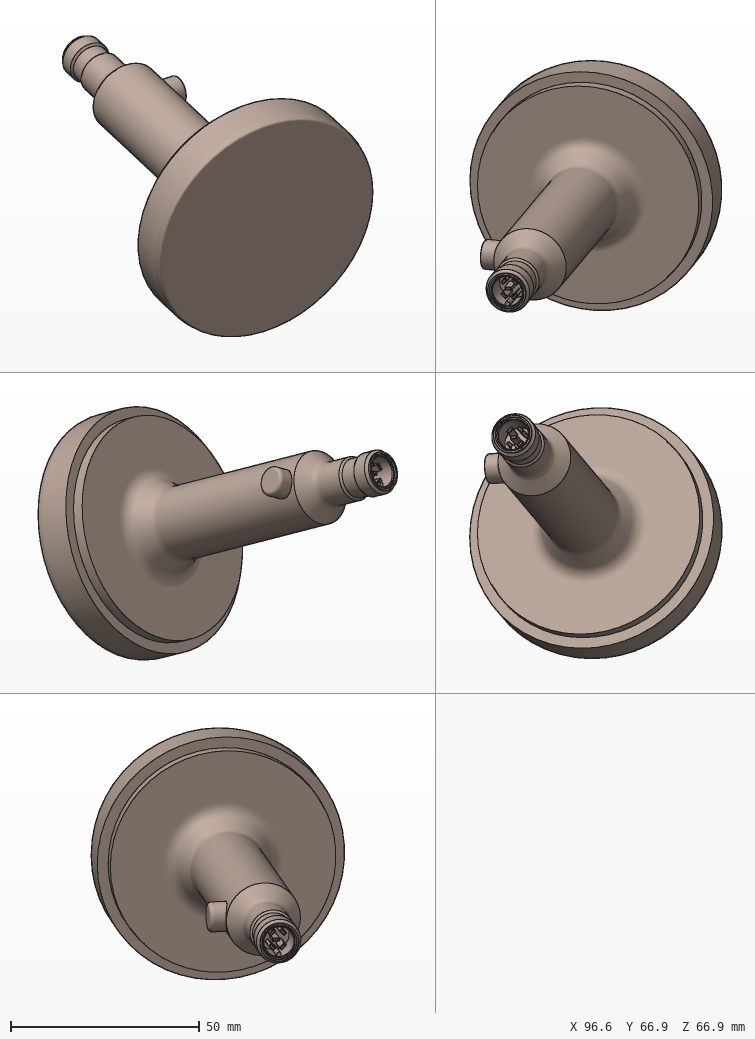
import cadquery as cq
import math


plug_radius = 12.0 / 2
nose_radius = 10.47 / 2
nose_length = 0.55
groove_radius = 10.8 / 2
groove_start_x = 5.25
groove_end_x = 10.8
neck_start_x = 18.4

body_radius = 20.0 / 2
neck_fillet = 3.0
neck_angle = math.radians(45)
flare_start_x = 74.8
flare_fillet = 4.0
flare_angle = math.radians(30)

hub_radius = 61.0 / 2
flange_radius = 66.9 / 2
hub_x = 82.4
flange_x = 85.6
rim_taper_x = 94.55
rim_taper_drop = 0.3
rim_fillet = 0.6
overall_length = 96.59

mouth_radius = 9.45 / 2
ledge_radius = 8.7 / 2
socket_radius = 8.2 / 2
mouth_depth = 0.6
socket_depth = 8.0
key_width = 1.2
key_tip_radius = 2.9

blade_length = 1.8
blade_thickness = 0.9
blade_tip_x = 2.8
blade_chamfer = 0.2
blade_offset_y = 1.45
blade_offset_z = 2.0
blade_angle = 45
earth_blade_y = 0.4

button_radius = 8.0 / 2
button_x = 28.4
button_top_y = 14.1
button_fillet = 1.0


def arc_point(center_x, center_r, radius, angle):
    """Point of a profile arc, the angle measured from the +X direction."""
    return (center_x + radius * math.cos(angle), center_r + radius * math.sin(angle))


def make_turned_body():
    """Revolved outside shape: plug, neck, tube, flare and flange."""
    nose_chamfer = plug_radius - nose_radius
    groove_depth = plug_radius - groove_radius

    down = -math.pi / 2
    neck_center = (neck_start_x, plug_radius + neck_fillet)
    neck_mid = arc_point(*neck_center, neck_fillet, down + neck_angle / 2)
    neck_end = arc_point(*neck_center, neck_fillet, down + neck_angle)
    body_start_x = neck_end[0] + (body_radius - neck_end[1]) / math.tan(neck_angle)

    flare_center = (flare_start_x, body_radius + flare_fillet)
    flare_mid = arc_point(*flare_center, flare_fillet, down + flare_angle / 2)
    flare_end = arc_point(*flare_center, flare_fillet, down + flare_angle)
    root_start_x = hub_x - flare_fillet * (1 - math.sin(flare_angle))
    root_start_r = flare_end[1] + (root_start_x - flare_end[0]) * math.tan(flare_angle)
    root_center = (hub_x - flare_fillet, root_start_r + flare_fillet * math.cos(flare_angle))
    root_mid = arc_point(*root_center, flare_fillet, (down + flare_angle) / 2)

    rim_radius = flange_radius - rim_taper_drop
    rim_center = (overall_length - rim_fillet, rim_radius - rim_fillet)
    rim_mid = arc_point(*rim_center, rim_fillet, math.pi / 4)

    profile = (
        cq.Workplane("XY")
        .moveTo(0, 0)
        .lineTo(0, nose_radius)
        .lineTo(nose_length, nose_radius)
        .lineTo(nose_length + nose_chamfer, plug_radius)
        .lineTo(groove_start_x, plug_radius)
        .lineTo(groove_start_x + groove_depth, groove_radius)
        .lineTo(groove_end_x - groove_depth, groove_radius)
        .lineTo(groove_end_x, plug_radius)
        .lineTo(neck_start_x, plug_radius)
        .threePointArc(neck_mid, neck_end)
        .lineTo(body_start_x, body_radius)
        .lineTo(flare_start_x, body_radius)
        .threePointArc(flare_mid, flare_end)
        .lineTo(root_start_x, root_start_r)
        .threePointArc(root_mid, (hub_x, root_center[1]))
        .lineTo(hub_x, hub_radius)
        .lineTo(flange_x, hub_radius)
        .lineTo(flange_x, flange_radius)
        .lineTo(rim_taper_x, flange_radius)
        .lineTo(rim_center[0], rim_radius)
        .threePointArc(rim_mid, (overall_length, rim_center[1]))
        .lineTo(overall_length, 0)
        .close()
    )
    return profile.revolve(360, (0, 0, 0), (1, 0, 0))


def make_button():
    """Round button on the +Y side of the tube, with a rounded crown."""
    return (
        cq.Workplane("XZ", origin=(button_x, 0, 0))
        .circle(button_radius)
        .extrude(-button_top_y)
        .faces(">Y")
        .edges()
        .fillet(button_fillet)
    )


def make_socket():
    """Bore of the plug with a stepped, chamfered mouth, less the coding key along its bottom."""
    bore_start_x = mouth_depth + ledge_radius - socket_radius
    bore = (
        cq.Workplane("XY")
        .moveTo(0, 0)
        .lineTo(0, mouth_radius)
        .lineTo(mouth_depth, mouth_radius)
        .lineTo(mouth_depth, ledge_radius)
        .lineTo(bore_start_x, socket_radius)
        .lineTo(socket_depth, socket_radius)
        .lineTo(socket_depth, 0)
        .close()
        .revolve(360, (0, 0, 0), (1, 0, 0))
    )
    crest_center = key_tip_radius + key_width / 2
    key = (
        cq.Workplane("YZ", origin=(bore_start_x, 0, 0))
        .moveTo(-key_width / 2, -mouth_radius)
        .lineTo(-key_width / 2, -crest_center)
        .threePointArc((0, -key_tip_radius), (key_width / 2, -crest_center))
        .lineTo(key_width / 2, -mouth_radius)
        .close()
        .extrude(socket_depth - bore_start_x)
    )
    return bore.cut(key)


def make_blade(y, z, turn):
    """Flat contact with a chamfered tip on the socket floor, turned about its own axis."""
    return (
        cq.Workplane("YZ", origin=(blade_tip_x, y, z))
        .transformed(rotate=(0, 0, turn))
        .rect(blade_length, blade_thickness)
        .extrude(socket_depth - blade_tip_x)
        .faces("<X")
        .chamfer(blade_chamfer)
    )


result = make_turned_body().union(make_button()).cut(make_socket())
for side_y in (-1, 1):
    for side_z in (-1, 1):
        blade_turn = -blade_angle * side_y * side_z
        result = result.union(make_blade(side_y * blade_offset_y, side_z * blade_offset_z, blade_turn))
result = result.union(make_blade(earth_blade_y, 0, 0))